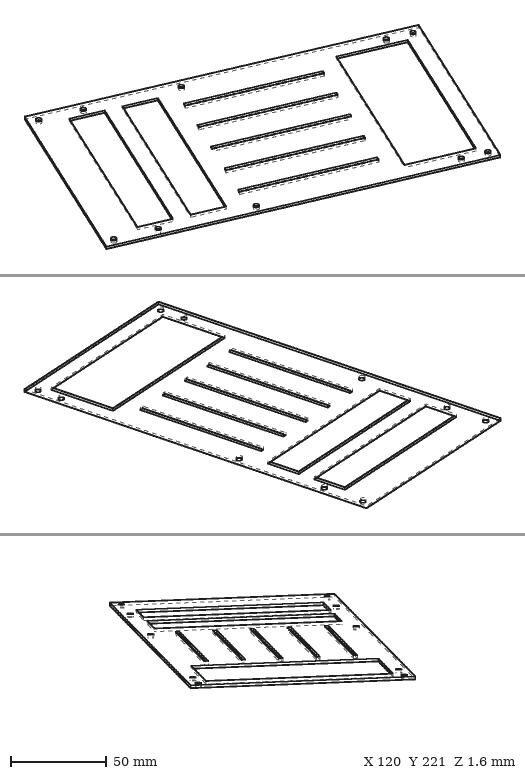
import cadquery as cq

plate_width = 120.0
plate_length = 221.0
plate_thickness = 1.6
top_edge = plate_length / 2

window_width = 100.0
large_window_depth = 10.0
large_window_height = 40.0
small_window_height = 20.0
small_window_depths = (150.0, 180.0)

slot_count = 5
slot_pitch = 20.0
slot_width = 2.0
slot_length = 78.0
large_window_end = large_window_depth + large_window_height
slot_centre_depth = (large_window_end + small_window_depths[0]) / 2

hole_diameter = 3.0
hole_edge_distance = 5.0
hole_depths = (hole_edge_distance, 20.1, 135.0, 190.0, 215.0)


def cut_window(body, depth, height):
    """Cut a centred window whose upper side lies `depth` below the top edge."""
    centre_y = top_edge - depth - height / 2
    cutter = (
        cq.Workplane("XY")
        .center(0, centre_y)
        .rect(window_width, height)
        .extrude(plate_thickness)
    )
    return body.cut(cutter)


def cut_slots(body):
    """Cut the row of evenly spaced slots that run along Y."""
    cutters = (
        cq.Workplane("XY")
        .center(0, top_edge - slot_centre_depth)
        .rarray(slot_pitch, 2.2, slot_count, 1)
        .rect(slot_width, slot_length)
        .extrude(plate_thickness)
    )
    return body.cut(cutters)


def cut_mounting_holes(body):
    """Cut a mirrored pair of through holes at each depth below the top edge."""
    hole_x = plate_width / 2 - hole_edge_distance
    centres = [(side * hole_x, top_edge - depth) for depth in hole_depths for side in (-1, 1)]
    cutters = (
        cq.Workplane("XY")
        .pushPoints(centres)
        .circle(hole_diameter / 2)
        .extrude(plate_thickness)
    )
    return body.cut(cutters)


plate = cq.Workplane("XY").box(
    plate_width, plate_length, plate_thickness, centered=(True, True, False)
)
plate = cut_window(plate, large_window_depth, large_window_height)
for window_depth in small_window_depths:
    plate = cut_window(plate, window_depth, small_window_height)
plate = cut_slots(plate)
result = cut_mounting_holes(plate)